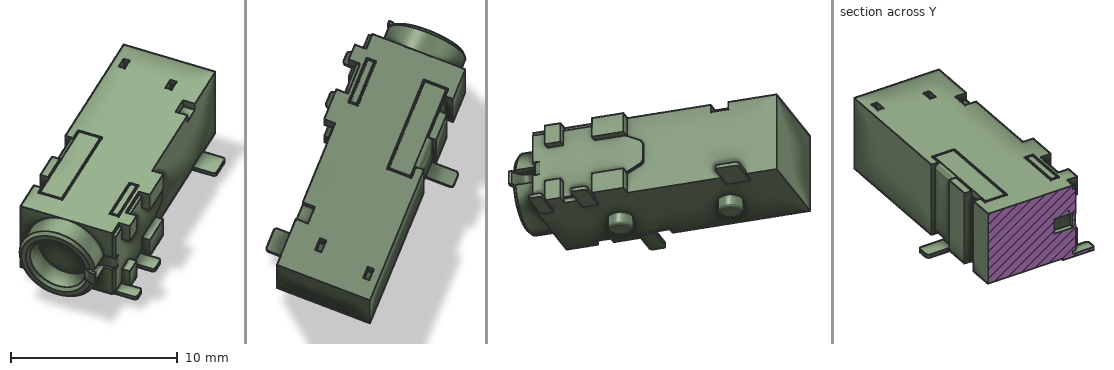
import cadquery as cq
import math


body_width = 6.0
body_height = 5.0
body_length = 15.5
side_x = body_width / 2
top_z = body_height / 2
bottom_z = -top_z

barrel_radius = body_height / 2
barrel_length = 1.5
barrel_chamfer = 0.2
bore_radius = 1.8
bore_mouth_radius = 2.0

peg_diameter = 1.5
peg_length = 0.8
peg_tip_radius = 0.15
peg_positions_y = (4.5, 11.5)

metal = 0.2
pin_thickness = 0.24
pin_top_z = bottom_z + pin_thickness / 2
pin_tip_x = 4.5
pin_corner_radius = 0.2
right_pin_root_x = 2.3
right_pin_spans_y = ((0.22, 1.05), (2.9, 3.9), (12.07, 13.57))

lug_reach = 0.72
lug_height = 1.25
lower_lug_height = 1.3
lug_spans_y = ((1.0, 2.0), (4.0, 6.0))

plate_front_y = 0.05
plate_taper_y = 4.0
plate_end_y = 7.05
plate_half_height = 2.22
tail_half_height = 0.7
tail_corner_radius = 0.37

contact_width = 0.85
contact_slot_width = 1.0
contact_slot_inner_x = 1.7
contact_slot_end_y = 0.65
hook_radius = 1.0
hook_center_x = 2.58
hook_center_y = -0.7
bend_radius = 0.36

window_y = (4.75, 6.75)
side_notch_y = (2.0, 3.0)
recess_x = -2.5
clip_outer_x = -2.74
clip_bottom_z = -2.24
clip_bend_radius = 0.4
left_pin_y = (4.8, 5.8)
left_pin_root_x = -2.62

groove_width = 0.1
groove_depth = 0.47
left_frame_x = (recess_x, -0.91)
left_frame_y = (1.5, 7.5)
right_frame_x = (2.16, 2.77)
right_frame_y = (1.5, 4.5)

slot_depth = 1.0
slot_ledge_depth = 0.8
left_slot_x = (-2.5, -2.1)
left_slot_y = (13.6, 14.35)
left_slot_ledge = 0.1
right_slot_x = (0.81, 1.22)
right_slot_y = (13.0, 13.77)
right_slot_ledge = 0.17
corner_notch_x = 2.22
corner_notch_y = (11.3, 12.42)
corner_notch_depth = 0.5


def block(x_span, y_span, z_span):
    """Box between the given (low, high) limits on each axis."""
    spans = (x_span, y_span, z_span)
    size = [high - low for low, high in spans]
    corner = [low for low, high in spans]
    return cq.Workplane("XY").box(*size, centered=False).translate(tuple(corner))


def top_pocket(x_span, y_span, depth):
    """Cutter that sinks a rectangle into the top face."""
    return block(x_span, y_span, (top_z - depth, top_z))


def housing():
    body = block((-side_x, side_x), (0, body_length), (bottom_z, top_z))
    for y_span in lug_spans_y:
        lug_x = (side_x, side_x + lug_reach)
        body = body.union(block(lug_x, y_span, (top_z - lug_height, top_z)))
        body = body.union(block(lug_x, y_span, (bottom_z, bottom_z + lower_lug_height)))
    for y_span in (window_y, side_notch_y):
        body = body.cut(block((-side_x, recess_x), y_span, (bottom_z, top_z)))
    return body


def barrel():
    """Chamfered tube with a flared mouth, its bore ending at the housing face."""
    mouth_depth = bore_mouth_radius - bore_radius
    profile = [
        (bore_radius, 0),
        (barrel_radius, 0),
        (barrel_radius, barrel_chamfer - barrel_length),
        (barrel_radius - barrel_chamfer, -barrel_length),
        (bore_mouth_radius, -barrel_length),
        (bore_radius, mouth_depth - barrel_length),
    ]
    return cq.Workplane("XY").polyline(profile).close().revolve(360, (0, 0), (0, 1))


def peg(y):
    return (
        cq.Workplane("XY", origin=(0, y, bottom_z))
        .circle(peg_diameter / 2)
        .extrude(-peg_length)
        .faces("<Z")
        .fillet(peg_tip_radius)
    )


def frame_groove(x_span, y_span):
    """Rectangular ring cutter that leaves a flush plate in its middle."""
    inner_x = (x_span[0] + groove_width, x_span[1] - groove_width)
    inner_y = (y_span[0] + groove_width, y_span[1] - groove_width)
    outer = top_pocket(x_span, y_span, groove_depth)
    return outer.cut(top_pocket(inner_x, inner_y, groove_depth))


def left_rear_slot():
    """Pocket with a shallower ledge along its left wall."""
    deep_x = (left_slot_x[0] + left_slot_ledge, left_slot_x[1])
    shallow = top_pocket(left_slot_x, left_slot_y, slot_ledge_depth)
    return shallow.union(top_pocket(deep_x, left_slot_y, slot_depth))


def right_rear_slot():
    """Pocket with a shallower ledge along its rear wall."""
    deep_y = (right_slot_y[0], right_slot_y[1] - right_slot_ledge)
    shallow = top_pocket(right_slot_x, right_slot_y, slot_ledge_depth)
    return shallow.union(top_pocket(right_slot_x, deep_y, slot_depth))


def corner_notch():
    return top_pocket((corner_notch_x, side_x), corner_notch_y, corner_notch_depth)


def contact_slot():
    """Slot through the barrel wall and housing corner that clears the contact."""
    half = contact_slot_width / 2
    return block((contact_slot_inner_x, side_x), (-barrel_length, contact_slot_end_y), (-half, half))


def pin(root_x, tip_x, y_span):
    """Flat solder pin with rounded corners at its tip."""
    x_span = (min(root_x, tip_x), max(root_x, tip_x))
    tip_side = ">X" if tip_x > root_x else "<X"
    blank = block(x_span, y_span, (pin_top_z - pin_thickness, pin_top_z))
    return blank.faces(tip_side).edges("|Z").fillet(pin_corner_radius)


def ground_plate():
    """Plate on the right side, cleared in front for the bend of the contact."""
    outline = [
        (plate_front_y, -plate_half_height),
        (plate_taper_y, -plate_half_height),
        (plate_end_y, -tail_half_height),
        (plate_end_y, tail_half_height),
        (plate_taper_y, plate_half_height),
        (plate_front_y, plate_half_height),
    ]
    plate = cq.Workplane("YZ", origin=(side_x, 0, 0)).polyline(outline).close().extrude(metal)
    plate = plate.edges("|X and >Y").fillet(tail_corner_radius)
    half = contact_width / 2
    clearance = block((side_x, side_x + metal), (plate_front_y, contact_slot_end_y), (-half, half))
    return plate.cut(clearance)


def spring_contact():
    """Strip bent from the plate, run inwards and curled round to the barrel mouth."""
    outer_x = side_x + metal
    back_y = hook_center_y + hook_radius
    front_y = back_y - metal
    inner_hook = hook_radius - metal
    inner_bend = bend_radius - metal
    bend_x = outer_x - bend_radius
    bend_y = front_y + bend_radius
    root_y = contact_slot_end_y
    diagonal = math.sqrt(0.5)
    return (
        cq.Workplane("XY", origin=(0, 0, -contact_width / 2))
        .moveTo(hook_center_x, hook_center_y - hook_radius)
        .threePointArc((hook_center_x - hook_radius, hook_center_y), (hook_center_x, back_y))
        .lineTo(bend_x, back_y)
        .threePointArc(
            (bend_x + inner_bend * diagonal, bend_y - inner_bend * diagonal),
            (side_x, bend_y),
        )
        .lineTo(side_x, root_y)
        .lineTo(outer_x, root_y)
        .lineTo(outer_x, bend_y)
        .threePointArc(
            (bend_x + bend_radius * diagonal, bend_y - bend_radius * diagonal),
            (bend_x, front_y),
        )
        .lineTo(hook_center_x, front_y)
        .threePointArc(
            (hook_center_x - inner_hook, hook_center_y),
            (hook_center_x, hook_center_y - inner_hook),
        )
        .close()
        .extrude(contact_width)
    )


def left_terminal():
    """Strip that rolls over from the top face, down the window and out as a pin."""
    inner_x = clip_outer_x + 2 * clip_bend_radius
    wall = block((clip_outer_x, inner_x), window_y, (clip_bottom_z, top_z))
    wall = wall.edges("|Y and <X and >Z").fillet(clip_bend_radius)
    neck = block((clip_outer_x, recess_x), left_pin_y, (pin_top_z - pin_thickness, clip_bottom_z))
    return wall.union(neck).union(pin(left_pin_root_x, -pin_tip_x, left_pin_y))


result = housing().union(barrel())
for peg_y in peg_positions_y:
    result = result.union(peg(peg_y))

cutters = (
    frame_groove(left_frame_x, left_frame_y),
    frame_groove(right_frame_x, right_frame_y),
    left_rear_slot(),
    right_rear_slot(),
    corner_notch(),
    contact_slot(),
)
for cutter in cutters:
    result = result.cut(cutter)

for pin_span_y in right_pin_spans_y:
    result = result.union(pin(right_pin_root_x, pin_tip_x, pin_span_y))
result = result.union(ground_plate()).union(spring_contact()).union(left_terminal())